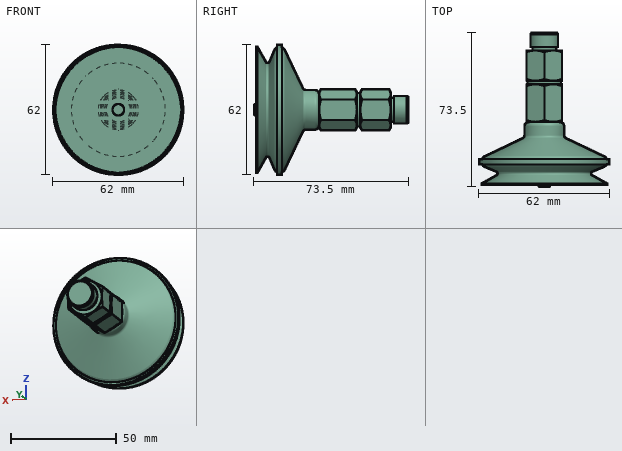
import cadquery as cq
import math

total_length = 73.45

pin_diameter = 5.5
pin_rounding = 0.8

lip_diameter = 60.0
lip_start = 0.95
lip_end = 1.6
groove_edge_radius = 22.8
groove_floor_radius = 22.25
groove_start = 5.65
groove_end = 7.2
lower_cone_radius = 28.1
lower_cone_end = 9.5
shoulder_radius = 29.7
shoulder_rounding = 2.95
flange_diameter = 62.0
flange_start = 10.8
flange_end = 13.2
upper_cone_radius = 28.65
upper_cone_start = 14.55
upper_cone_end = 23.3
neck_diameter = 19.0
neck_start = 24.7
neck_end = 30.9
neck_rounding = 2.1
cone_top_radius = 10.3

hex_across_flats = 17.0
hex_end_diameter = 16.7
hex_chamfer_angle = 30.0
lower_hex_end = 48.9
upper_hex_start = 50.5
upper_hex_end = 65.0
collar_diameter = 16.0
undercut_diameter = 11.45
thread_start = 66.5
thread_diameter = 13.15
thread_chamfer_length = 0.9
thread_chamfer_depth = 0.6


def cylinder(diameter, start, end):
    """Cylinder along +Y between two stations."""
    plane = cq.Workplane("XZ", origin=(0, start, 0))
    return plane.circle(diameter / 2).extrude(start - end)


def hex_fitting(start, end):
    """Hexagon with corners on +Z and -Z and both ends chamfered by cones."""
    corner_radius = hex_across_flats / math.sqrt(3)
    corners = [
        (corner_radius * math.sin(k * math.pi / 3), corner_radius * math.cos(k * math.pi / 3))
        for k in range(6)
    ]
    prism = cq.Workplane("XZ", origin=(0, start, 0)).polyline(corners).close().extrude(start - end)
    end_radius = hex_end_diameter / 2
    chamfer_length = (corner_radius - end_radius) * math.tan(math.radians(hex_chamfer_angle))
    envelope = (
        cq.Workplane("XY")
        .moveTo(0, start)
        .lineTo(end_radius, start)
        .lineTo(corner_radius, start + chamfer_length)
        .lineTo(corner_radius, end - chamfer_length)
        .lineTo(end_radius, end)
        .lineTo(0, end)
        .close()
        .revolve(360, (0, 0, 0), (0, 1, 0))
    )
    return prism.intersect(envelope)


def suction_cup():
    """Revolved bellows: lip, groove, flanged fold, cone and rounded neck."""
    lip_radius = lip_diameter / 2
    flange_radius = flange_diameter / 2
    neck_radius = neck_diameter / 2
    return (
        cq.Workplane("XY")
        .moveTo(0, lip_start)
        .lineTo(lip_radius, lip_start)
        .lineTo(lip_radius, lip_end)
        .lineTo(groove_edge_radius, groove_start)
        .threePointArc(
            (groove_floor_radius, (groove_start + groove_end) / 2),
            (groove_edge_radius, groove_end),
        )
        .lineTo(lower_cone_radius, lower_cone_end)
        .radiusArc((shoulder_radius, flange_start), -shoulder_rounding)
        .lineTo(flange_radius, flange_start)
        .lineTo(flange_radius, flange_end)
        .lineTo(shoulder_radius, flange_end)
        .radiusArc((upper_cone_radius, upper_cone_start), -shoulder_rounding)
        .lineTo(cone_top_radius, upper_cone_end)
        .tangentArcPoint((neck_radius, neck_start), relative=False)
        .lineTo(neck_radius, neck_end - neck_rounding)
        .radiusArc((neck_radius - neck_rounding, neck_end), -neck_rounding)
        .lineTo(0, neck_end)
        .close()
        .revolve(360, (0, 0, 0), (0, 1, 0))
    )


def threaded_end():
    """Plain thread envelope with a chamfered outer end."""
    thread = cylinder(thread_diameter, thread_start, total_length)
    return thread.faces(">Y").chamfer(thread_chamfer_length, thread_chamfer_depth)


pin = cylinder(pin_diameter, 0, lip_end).faces("<Y").edges().fillet(pin_rounding)

result = (
    suction_cup()
    .union(pin)
    .union(hex_fitting(neck_end, lower_hex_end))
    .union(cylinder(collar_diameter, lower_hex_end, upper_hex_start))
    .union(hex_fitting(upper_hex_start, upper_hex_end))
    .union(cylinder(undercut_diameter, upper_hex_end, thread_start))
    .union(threaded_end())
)